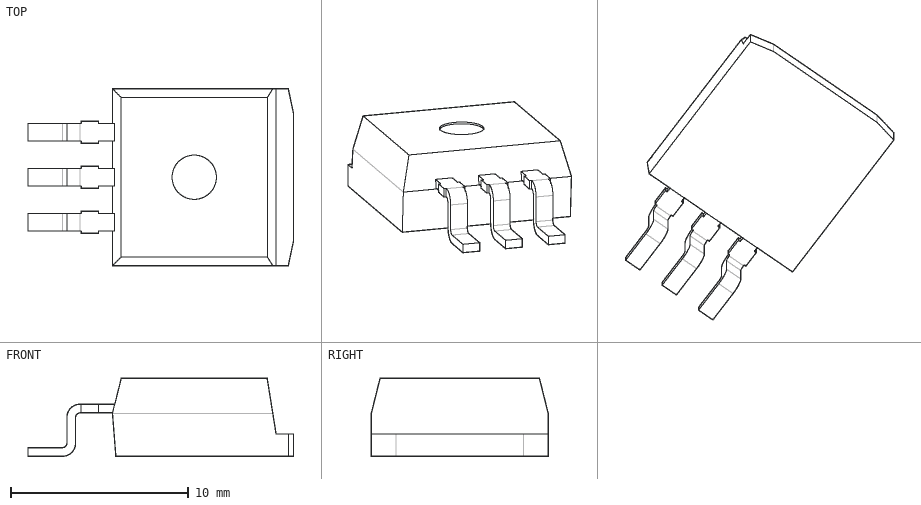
import cadquery as cq

OVERALL_LENGTH = 15.0
BODY_WIDTH = 10.0
BODY_HEIGHT = 4.42
X_START = -OVERALL_LENGTH / 2
X_END = OVERALL_LENGTH / 2

SEAM_Z = 2.42
SEAM_X_MIN = X_START + 4.77
SEAM_X_MAX = X_START + 13.83
TOP_INSET = 0.5
TOP_X_MAX = X_START + 13.51
BOTTOM_INSET = 0.19
BOTTOM_X_MIN = SEAM_X_MIN + BOTTOM_INSET

TAB_THICKNESS = 1.27
TAB_TIP_LENGTH = 0.3
TAB_TIP_WIDTH = 7.2

MARK_DIAMETER = 2.5
MARK_DEPTH = 0.1

LEAD_COUNT = 3
LEAD_PITCH = 2.54
LEAD_WIDTH = 1.0
LEAD_THICKNESS = 0.5
LEAD_TOP_Z = 2.95
LEAD_RISER_X = X_START + 2.2
LEAD_END_X = SEAM_X_MIN + TOP_INSET
BEND_INNER_RADIUS = 0.25
BEND_OUTER_RADIUS = BEND_INNER_RADIUS + LEAD_THICKNESS
SHOULDER_GAP = 0.05
SHOULDER_X = LEAD_RISER_X + BEND_OUTER_RADIUS + SHOULDER_GAP
SHOULDER_LENGTH = 1.0
SHOULDER_WIDTH = 1.25

END_SLOPE = (SEAM_X_MAX - TOP_X_MAX) / (BODY_HEIGHT - SEAM_Z)
TAB_X_MIN = SEAM_X_MAX + END_SLOPE * (SEAM_Z - TAB_THICKNESS)


def rectangle_wire(x_min, x_max, width, z):
    """Horizontal rectangle, symmetric about Y = 0."""
    half = width / 2
    corners = [(x_min, -half, z), (x_max, -half, z), (x_max, half, z), (x_min, half, z)]
    return cq.Wire.makePolygon([cq.Vector(*corner) for corner in corners], close=True)


def make_upper_body():
    """Upper mould half, drafted inward on all four sides."""
    seam = rectangle_wire(SEAM_X_MIN, SEAM_X_MAX, BODY_WIDTH, SEAM_Z)
    top_width = BODY_WIDTH - 2 * TOP_INSET
    top = rectangle_wire(SEAM_X_MIN + TOP_INSET, TOP_X_MAX, top_width, BODY_HEIGHT)
    return cq.Workplane(cq.Solid.makeLoft([seam, top], True))


def make_lower_body():
    """Lower mould half, straight-sided, with drafted ends."""
    return (
        cq.Workplane("XZ")
        .moveTo(BOTTOM_X_MIN, 0)
        .lineTo(TAB_X_MIN, 0)
        .lineTo(TAB_X_MIN, TAB_THICKNESS)
        .lineTo(SEAM_X_MAX, SEAM_Z)
        .lineTo(SEAM_X_MIN, SEAM_Z)
        .close()
        .extrude(BODY_WIDTH / 2, both=True)
    )


def make_tab():
    """Flat tab with two angled corners at its tip."""
    half = BODY_WIDTH / 2
    half_tip = TAB_TIP_WIDTH / 2
    corner_x = X_END - TAB_TIP_LENGTH
    outline = [
        (TAB_X_MIN, -half),
        (corner_x, -half),
        (X_END, -half_tip),
        (X_END, half_tip),
        (corner_x, half),
        (TAB_X_MIN, half),
    ]
    return cq.Workplane("XY").polyline(outline).close().extrude(TAB_THICKNESS)


def make_lead(y):
    """Lead bent down to a foot at Z = 0, with a wider shoulder near the body."""
    riser_inner_x = LEAD_RISER_X + LEAD_THICKNESS
    lead_bottom_z = LEAD_TOP_Z - LEAD_THICKNESS
    foot_bend_x = LEAD_RISER_X - BEND_INNER_RADIUS
    upper_bend_x = LEAD_RISER_X + BEND_OUTER_RADIUS
    upper_bend_z = LEAD_TOP_Z - BEND_OUTER_RADIUS
    strip = (
        cq.Workplane("XZ", origin=(0, y, 0))
        .moveTo(X_START, 0)
        .lineTo(foot_bend_x, 0)
        .radiusArc((riser_inner_x, BEND_OUTER_RADIUS), -BEND_OUTER_RADIUS)
        .lineTo(riser_inner_x, upper_bend_z)
        .radiusArc((upper_bend_x, lead_bottom_z), BEND_INNER_RADIUS)
        .lineTo(LEAD_END_X, lead_bottom_z)
        .lineTo(LEAD_END_X, LEAD_TOP_Z)
        .lineTo(upper_bend_x, LEAD_TOP_Z)
        .radiusArc((LEAD_RISER_X, upper_bend_z), -BEND_OUTER_RADIUS)
        .lineTo(LEAD_RISER_X, BEND_OUTER_RADIUS)
        .radiusArc((foot_bend_x, LEAD_THICKNESS), BEND_INNER_RADIUS)
        .lineTo(X_START, LEAD_THICKNESS)
        .close()
        .extrude(LEAD_WIDTH / 2, both=True)
    )
    shoulder = cq.Workplane("XY").box(
        SHOULDER_LENGTH, SHOULDER_WIDTH, LEAD_THICKNESS, centered=(False, True, False)
    )
    return strip.union(shoulder.translate((SHOULDER_X, y, lead_bottom_z)))


def make_mould_mark():
    """Cutter for the shallow round recess centred on the top face."""
    centre_x = (SEAM_X_MIN + TOP_INSET + TOP_X_MAX) / 2
    return (
        cq.Workplane("XY", origin=(centre_x, 0, BODY_HEIGHT - MARK_DEPTH))
        .circle(MARK_DIAMETER / 2)
        .extrude(MARK_DEPTH)
    )


result = make_lower_body().union(make_upper_body()).union(make_tab()).cut(make_mould_mark())
for index in range(LEAD_COUNT):
    lead_y = (index - (LEAD_COUNT - 1) / 2) * LEAD_PITCH
    result = result.union(make_lead(lead_y))